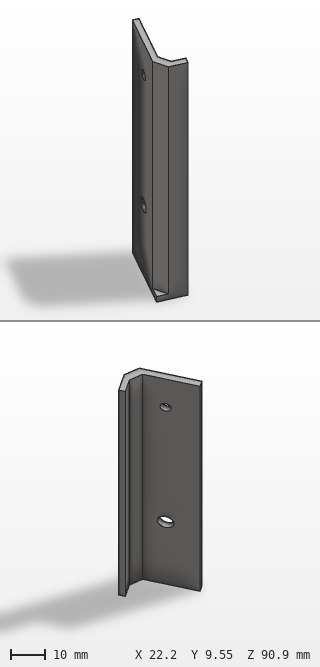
import cadquery as cq

length = 90.9
width = 22.2
depth = 9.55
wall = 2.0

inner_bevel = 3.1
outer_bevel = 3.55
end_stop = 2.2

hole_x = 10.3
small_hole_z = 78.4
small_hole_diameter = 3.3
large_hole_z = 27.55
large_hole_diameter = 4.8


def angle_strip():
    """L-section with a bevelled inside corner, extruded along Z."""
    flange_inside = width - wall
    return (
        cq.Workplane("XY")
        .moveTo(0, 0)
        .lineTo(width, 0)
        .lineTo(width, depth)
        .lineTo(flange_inside, depth)
        .lineTo(flange_inside, wall + inner_bevel)
        .lineTo(flange_inside - inner_bevel, wall)
        .lineTo(0, wall)
        .close()
        .extrude(length)
    )


def outer_corner_cut():
    """Triangular prism removed from the outside corner above the end stop."""
    return (
        cq.Workplane("XY", origin=(0, 0, end_stop))
        .moveTo(width - outer_bevel, 0)
        .lineTo(width, 0)
        .lineTo(width, outer_bevel)
        .close()
        .extrude(length - end_stop)
    )


def plate_hole(z, diameter):
    """Cylinder passing through the plate along Y."""
    return (
        cq.Workplane("XZ")
        .center(hole_x, z)
        .circle(diameter / 2)
        .extrude(-wall)
    )


result = (
    angle_strip()
    .cut(outer_corner_cut())
    .cut(plate_hole(small_hole_z, small_hole_diameter))
    .cut(plate_hole(large_hole_z, large_hole_diameter))
)